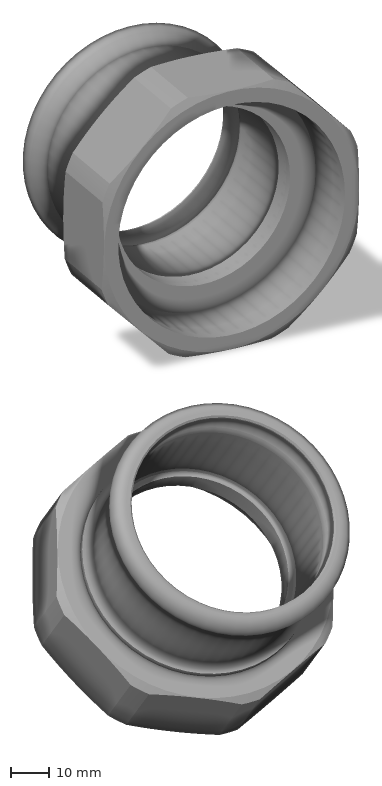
import cadquery as cq
import math

length = 57.8

bore_radius = 55.0 / 2
tube_radius = 57.7 / 2
passage_radius = 51.0 / 2
stop_x = 35.5
stop_corner = 0.5
collar_radius = 62.5 / 2
collar_x = 33.1
collar_fillet = 2.1
flange_radius = 66.0 / 2
flange_thickness = 3.0

bead_radius = 3.45
bead_crest_radius = 32.55
bead_centre_radius = bead_crest_radius - bead_radius
bead_slope = math.radians(40)
bead_wall = 0.9
groove_radius = bead_radius - bead_wall
lip_radius = 55.0 / 2
lip_chamfer = 0.45
cone_fillet = 2.9

nut_x = 34.8
nut_across_flats = 75.0
nut_corner_radius = 39.55
nut_turn = -0.55
nut_chamfer_length = 1.1
nut_face_radius = 37.4
nut_sides = 8
nut_shoulder_thickness = 2.0
nut_hole_radius = 62.6 / 2
nut_bore_radius = 66.6 / 2

flange_x = nut_x + nut_shoulder_thickness
socket_end_x = flange_x + flange_thickness
gasket_thickness = 2.0


def bead_point(section_radius, angle):
    """Point (x, r) on a circle about the bead centre; angle runs from +r toward +X."""
    return (
        bead_radius + section_radius * math.sin(angle),
        bead_centre_radius + section_radius * math.cos(angle),
    )


def cone_end_x(section_radius, end_radius):
    """X at which the cone tangent to the bead circle comes down to end_radius."""
    x, r = bead_point(section_radius, bead_slope)
    return x + (r - end_radius) / math.tan(bead_slope)


def around_x(profile):
    """Close the (x, r) profile and revolve it about the X axis."""
    return profile.close().revolve(360, (0, 0, 0), (1, 0, 0))


def make_socket():
    bend_x = cone_end_x(groove_radius, bore_radius)
    bend = cone_fillet * math.tan(bead_slope / 2)
    bend_start = (bend_x - bend * math.cos(bead_slope), bore_radius + bend * math.sin(bead_slope))
    front = -math.pi / 2
    outside = (
        cq.Workplane("XY")
        .moveTo(0, lip_radius + lip_chamfer)
        .lineTo(*bead_point(bead_radius, front))
        .threePointArc(bead_point(bead_radius, 0), bead_point(bead_radius, bead_slope))
        .lineTo(cone_end_x(bead_radius, tube_radius), tube_radius)
        .lineTo(collar_x - collar_fillet, tube_radius)
        .radiusArc((collar_x, tube_radius + collar_fillet), -collar_fillet)
        .lineTo(collar_x, collar_radius)
        .lineTo(flange_x, collar_radius)
        .lineTo(flange_x, flange_radius)
        .lineTo(socket_end_x, flange_radius)
    )
    profile = (
        outside
        .lineTo(socket_end_x, passage_radius)
        .lineTo(stop_x, passage_radius)
        .lineTo(stop_x, bore_radius - stop_corner)
        .lineTo(stop_x - stop_corner, bore_radius)
        .lineTo(bend_x + bend, bore_radius)
        .radiusArc(bend_start, cone_fillet)
        .lineTo(*bead_point(groove_radius, bead_slope))
        .threePointArc(bead_point(groove_radius, 0), bead_point(groove_radius, front))
        .lineTo(bead_wall, lip_radius)
        .lineTo(lip_chamfer, lip_radius)
    )
    return around_x(profile)


def make_gasket():
    return (
        cq.Workplane("YZ", origin=(socket_end_x, 0, 0))
        .circle(flange_radius)
        .circle(passage_radius)
        .extrude(gasket_thickness)
    )


def make_nut():
    flats_diameter = nut_across_flats / math.cos(math.pi / nut_sides)
    prism = (
        cq.Workplane("YZ", origin=(nut_x, 0, 0))
        .polygon(nut_sides, flats_diameter)
        .extrude(length - nut_x)
        .rotate((0, 0, 0), (1, 0, 0), 180 / nut_sides + nut_turn)
    )
    envelope = around_x(
        cq.Workplane("XY")
        .moveTo(nut_x, nut_hole_radius)
        .lineTo(nut_x, nut_face_radius)
        .lineTo(nut_x + nut_chamfer_length, nut_corner_radius)
        .lineTo(length - nut_chamfer_length, nut_corner_radius)
        .lineTo(length, nut_face_radius)
        .lineTo(length, nut_bore_radius)
        .lineTo(flange_x, nut_bore_radius)
        .lineTo(flange_x, nut_hole_radius)
    )
    return prism.intersect(envelope)


socket = make_socket()
gasket = make_gasket()
nut = make_nut()

result = cq.Compound.makeCompound([socket.val(), gasket.val(), nut.val()])